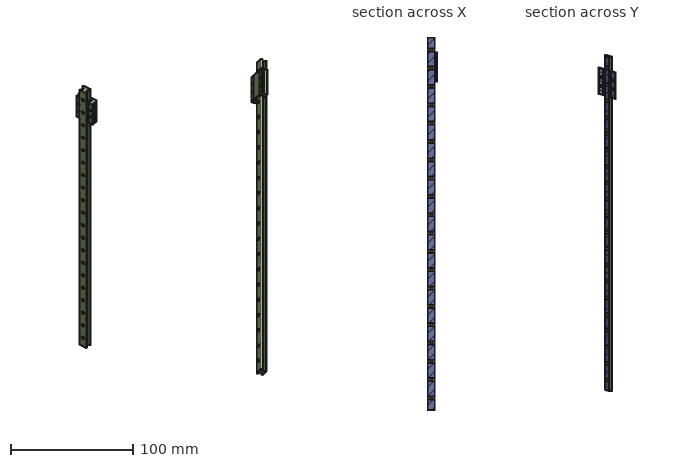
import cadquery as cq
import math

rail_length = 305.0
rail_bottom = -4.0
rail_base_width = 7.0
rail_base_side = 1.07
rail_base_slope = 30.0
rail_waist_width = 3.5
rail_head_width = 8.0
rail_head_bottom = -0.3
rail_head_height = 2.3
rail_hole_diameter = 2.5
rail_hole_count = 20
rail_hole_margin = 10.0

slider_length = 24.0
slider_to_rail_end = 12.2
slider_width = 17.0
slider_top = 4.0
slider_bottom = -1.98
liner_width = 8.5
liner_underside = 2.7
liner_hook_gap = 5.0
liner_rib_depth = 0.5
liner_rib_height = 0.5
block_edge_chamfer = 0.4
block_groove_depth = 0.45
block_groove_bottom = -1.2
block_groove_top = 1.5
screw_hole_diameter = 1.8
screw_spacing_x = 12.0
screw_spacing_z = 8.0

head_radius = rail_head_height / 2
head_middle = rail_head_bottom + head_radius
head_top = rail_head_bottom + rail_head_height
head_flat = rail_head_width / 2 - head_radius
hole_pitch = (rail_length - 2 * rail_hole_margin) / (rail_hole_count - 1)
slider_end = rail_length / 2 - slider_to_rail_end
slider_start = slider_end - slider_length
slider_middle = slider_end - slider_length / 2


def cross_holes(points, diameter):
    """Round cutters along Y, long enough to pass through every body, at (x, z) points."""
    reach = 2 * (slider_top - rail_bottom)
    return (
        cq.Workplane("XZ", origin=(0, reach / 2, 0))
        .pushPoints(points)
        .circle(diameter / 2)
        .extrude(reach)
    )


def make_rail():
    """Rail with a slope-topped base, a narrow waist, a rounded head and a row of holes."""
    base_half = rail_base_width / 2
    waist_half = rail_waist_width / 2
    base_shoulder = rail_bottom + rail_base_side
    slope_rise = (base_half - waist_half) * math.tan(math.radians(rail_base_slope))
    rail = (
        cq.Workplane("XY", origin=(0, 0, -rail_length / 2))
        .moveTo(-base_half, rail_bottom)
        .lineTo(base_half, rail_bottom)
        .lineTo(base_half, base_shoulder)
        .lineTo(waist_half, base_shoulder + slope_rise)
        .lineTo(waist_half, rail_head_bottom)
        .lineTo(head_flat, rail_head_bottom)
        .threePointArc((rail_head_width / 2, head_middle), (head_flat, head_top))
        .lineTo(-head_flat, head_top)
        .threePointArc((-rail_head_width / 2, head_middle), (-head_flat, rail_head_bottom))
        .lineTo(-waist_half, rail_head_bottom)
        .lineTo(-waist_half, base_shoulder + slope_rise)
        .lineTo(-base_half, base_shoulder)
        .close()
        .extrude(rail_length)
    )
    first_hole = -rail_length / 2 + rail_hole_margin
    hole_points = [(0, first_hole + i * hole_pitch) for i in range(rail_hole_count)]
    return rail.cut(cross_holes(hole_points, rail_hole_diameter))


def slider_box(left, right, bottom, top):
    """Box over the full slider length, given its limits in X and Y."""
    return (
        cq.Workplane("XY", origin=((left + right) / 2, (bottom + top) / 2, slider_start))
        .rect(right - left, top - bottom)
        .extrude(slider_length)
    )


def liner_outside():
    """Liner without its channel: a plain bar with one small rib along each side."""
    half = liner_width / 2
    rib_half = half + liner_rib_depth
    body = slider_box(-half, half, slider_bottom, slider_top)
    ribs = slider_box(-rib_half, rib_half, head_middle, head_middle + liner_rib_height)
    return body.union(ribs)


def make_liner():
    """Channel over the rail head, with two hooks reaching in below the head."""
    head_half = rail_head_width / 2
    hook_half = liner_hook_gap / 2
    head_channel = slider_box(-head_half, head_half, rail_head_bottom, liner_underside)
    hook_gap = slider_box(-hook_half, hook_half, slider_bottom, rail_head_bottom)
    return liner_outside().cut(head_channel).cut(hook_gap)


def make_side_block(side):
    """Block on the +X side (side = 1) or the -X side (side = -1) of the liner."""
    outer = slider_width / 2
    block = (
        slider_box(0, outer, slider_bottom, slider_top)
        .edges("|Z and >X")
        .chamfer(block_edge_chamfer)
        .cut(slider_box(outer - block_groove_depth, outer, block_groove_bottom, block_groove_top))
    )
    if side < 0:
        block = block.mirror("YZ")
    hole_points = [
        (side * screw_spacing_x / 2, slider_middle + end * screw_spacing_z / 2) for end in (-1, 1)
    ]
    return block.cut(liner_outside()).cut(cross_holes(hole_points, screw_hole_diameter))


rail = make_rail()
liner = make_liner()
side_blocks = [make_side_block(side) for side in (-1, 1)]

result = cq.Compound.makeCompound([rail.val(), liner.val(), *[block.val() for block in side_blocks]])